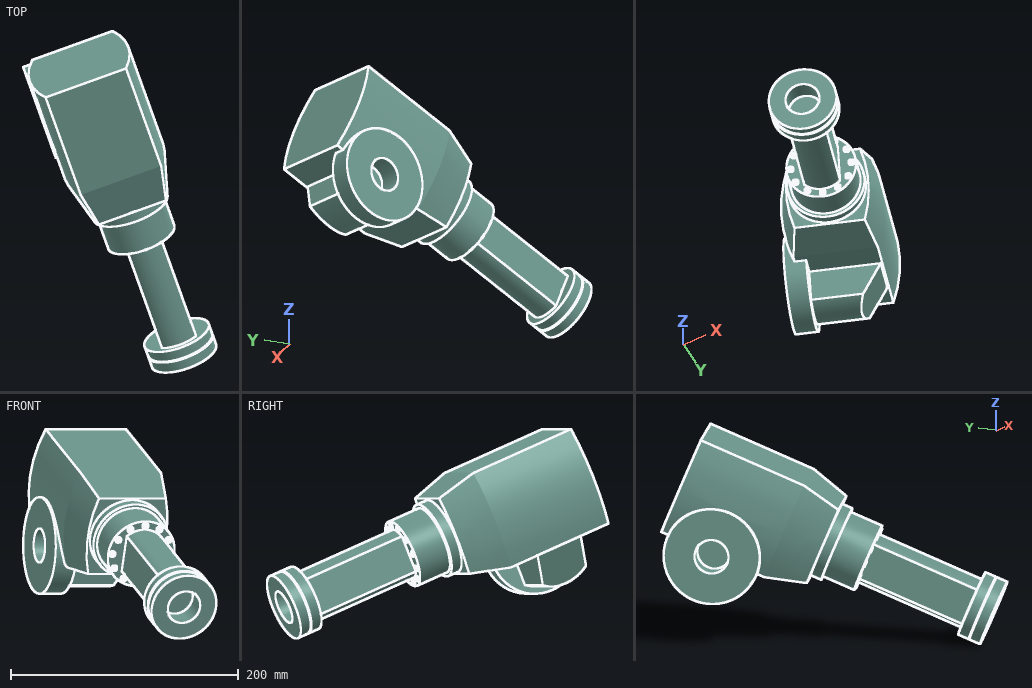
import cadquery as cq
import math

YAW = 19.8
DIP = 22.9

HOUSING_WIDTH = 75.2
HOUSING_HEIGHT = 90.2
HOUSING_LENGTH = 99.2
SIDE_BULGE = 8.5
NOSE_LENGTH = 36.0
NOSE_WIDTH = 62.5
NOSE_HEIGHT = 72.2
NOSE_BULGE = 5.5

RING_DIAMETER = 69.0
RING_LENGTH = 10.0
COLLAR_DIAMETER = 62.0
COLLAR_LENGTH = 30.0
SCREW_COUNT = 12
SCREW_CIRCLE_RADIUS = 27.0
SCREW_HEAD_DIAMETER = 5.0
SCREW_HEAD_HEIGHT = 1.0
SCREW_SOCKET_DIAMETER = 3.0

SHAFT_DIAMETER = 46.3
SHAFT_FLAT_WIDTH = 32.0
SHAFT_LENGTH = 99.5
FLANGE_DIAMETER = 60.0
FLANGE_LENGTH = 21.0
GROOVE_WIDTH = 0.5
GROOVE_DEPTH = 0.5
BORE_DIAMETER = 30.0
BORE_DEPTH = 21.0

PIVOT_DIAMETER = 85.0
PIVOT_THICKNESS = 19.8
PIVOT_FACE_X = -47.2
PIVOT_HOLE_DIAMETER = 30.0
PIVOT_HOLE_DEPTH = 22.3
BLOCK_RADIUS = 36.0
BLOCK_WIDTH = 44.0
BLOCK_BOTTOM_END_X = 19.0
BLOCK_TOP_END_X = 36.0

END_FACE_CENTRE = (140.0, 14.5, 28.0)

nose_start = HOUSING_LENGTH
ring_start = nose_start + NOSE_LENGTH
collar_start = ring_start + RING_LENGTH
collar_end = collar_start + COLLAR_LENGTH
flange_start = collar_end + SHAFT_LENGTH
flange_end = flange_start + FLANGE_LENGTH
pivot_y = -HOUSING_HEIGHT / 2
pivot_z = HOUSING_LENGTH / 2


def add_bulged_outline(plane, width, height, bulge):
    """Rectangle whose left and right sides bow outward."""
    x = width / 2
    y = height / 2
    return (
        plane.moveTo(-x, -y)
        .lineTo(x, -y)
        .threePointArc((x + bulge, 0), (x, y))
        .lineTo(-x, y)
        .threePointArc((-x - bulge, 0), (-x, -y))
        .close()
    )


def cylinder(diameter, start, length):
    return cq.Workplane("XY").workplane(offset=start).circle(diameter / 2).extrude(length)


def make_housing():
    rear = cq.Workplane("XY")
    barrel = add_bulged_outline(rear, HOUSING_WIDTH, HOUSING_HEIGHT, SIDE_BULGE).extrude(HOUSING_LENGTH)
    wide_end = add_bulged_outline(
        rear.workplane(offset=nose_start), HOUSING_WIDTH, HOUSING_HEIGHT, SIDE_BULGE
    )
    nose = add_bulged_outline(
        wide_end.workplane(offset=NOSE_LENGTH), NOSE_WIDTH, NOSE_HEIGHT, NOSE_BULGE
    ).loft(ruled=True)
    return barrel.union(nose)


def make_collar():
    ring = cylinder(RING_DIAMETER, ring_start, RING_LENGTH)
    collar = ring.union(cylinder(COLLAR_DIAMETER, collar_start, COLLAR_LENGTH))
    screws = (
        cq.Workplane("XY")
        .workplane(offset=collar_end)
        .polarArray(SCREW_CIRCLE_RADIUS, 90, 360, SCREW_COUNT)
        .circle(SCREW_HEAD_DIAMETER / 2)
        .circle(SCREW_SOCKET_DIAMETER / 2)
        .extrude(SCREW_HEAD_HEIGHT)
    )
    return collar.union(screws)


def make_shaft():
    flats = (
        cq.Workplane("XY")
        .workplane(offset=collar_end)
        .rect(SHAFT_FLAT_WIDTH, SHAFT_DIAMETER)
        .extrude(SHAFT_LENGTH)
    )
    return cylinder(SHAFT_DIAMETER, collar_end, SHAFT_LENGTH).intersect(flats)


def make_flange():
    flange = cylinder(FLANGE_DIAMETER, flange_start, FLANGE_LENGTH)
    groove = (
        cq.Workplane("XY")
        .workplane(offset=flange_start + (FLANGE_LENGTH - GROOVE_WIDTH) / 2)
        .circle(FLANGE_DIAMETER / 2)
        .circle(FLANGE_DIAMETER / 2 - GROOVE_DEPTH)
        .extrude(GROOVE_WIDTH)
    )
    return flange.cut(groove)


def pivot_cylinder(diameter, length):
    """Cylinder along local X, starting at the outer face of the pivot disc."""
    return (
        cq.Workplane("YZ", origin=(PIVOT_FACE_X, pivot_y, pivot_z))
        .circle(diameter / 2)
        .extrude(length)
    )


def make_block():
    """Block under the housing: flat flanks, round underside and a sloping end."""
    half_width = BLOCK_WIDTH / 2
    drop = math.sqrt(BLOCK_RADIUS**2 - half_width**2)
    start_x = PIVOT_FACE_X + PIVOT_THICKNESS
    block = (
        cq.Workplane("YZ", origin=(start_x, pivot_y, pivot_z))
        .moveTo(0, -half_width)
        .lineTo(-drop, -half_width)
        .threePointArc((-BLOCK_RADIUS, 0), (-drop, half_width))
        .lineTo(0, half_width)
        .close()
        .extrude(BLOCK_TOP_END_X - start_x)
    )
    end_slope = (BLOCK_TOP_END_X - BLOCK_BOTTOM_END_X) / drop
    wedge = (
        cq.Workplane("XY")
        .moveTo(BLOCK_TOP_END_X, pivot_y)
        .lineTo(BLOCK_TOP_END_X, pivot_y - BLOCK_RADIUS)
        .lineTo(BLOCK_TOP_END_X - end_slope * BLOCK_RADIUS, pivot_y - BLOCK_RADIUS)
        .close()
        .extrude(HOUSING_LENGTH)
    )
    return block.cut(wedge)


head = (
    make_housing()
    .union(make_collar())
    .union(make_shaft())
    .union(make_flange())
    .union(pivot_cylinder(PIVOT_DIAMETER, PIVOT_THICKNESS))
    .union(make_block())
    .cut(pivot_cylinder(PIVOT_HOLE_DIAMETER, PIVOT_HOLE_DEPTH))
    .cut(cylinder(BORE_DIAMETER, flange_end - BORE_DEPTH, BORE_DEPTH))
)

result = (
    head.translate((0, 0, -flange_end))
    .rotate((0, 0, 0), (1, 0, 0), 90 + DIP)
    .rotate((0, 0, 0), (0, 0, 1), YAW)
    .translate(END_FACE_CENTRE)
)